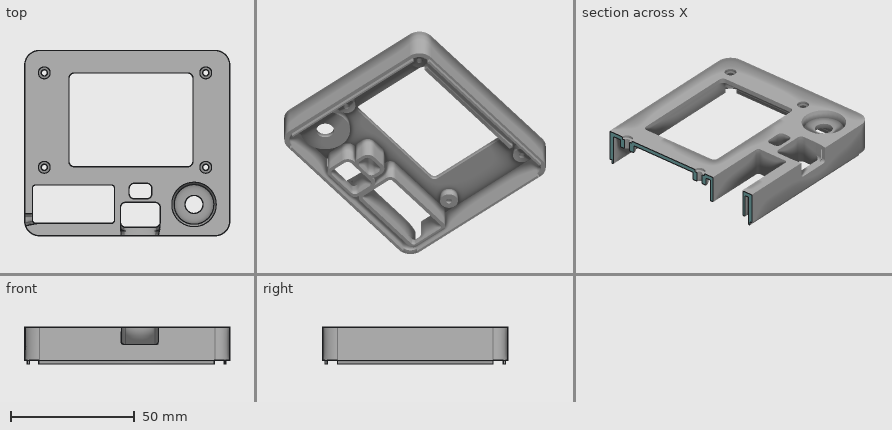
import cadquery as cq

length = 83.0
width = 75.0
height = 15.0
corner_radius = 6.0
wall = 2.0
plate_thickness = 2.0
lip_height = 1.5
plate_underside = height - plate_thickness

lip_inset = 1.0
lip_thickness = 1.0
right_lip_inset = 1.6
right_lip_thickness = 0.7
lip_shift = -0.3

window_x = 18.0
window_y = 28.0
window_length = 50.0
window_width = 37.8
window_radius = 2.0
rib_overhang = 2.2
rib_setback = 0.2
rib_thickness = 1.5
rib_depth = 8.4

screw_center_x = 40.6
screw_center_y = 46.8
screw_pitch_x = 65.3
screw_pitch_y = 38.2
screw_diameter = 2.4
counterbore_diameter = 4.8
counterbore_depth = 1.0
boss_diameter = 7.2
boss_depth = 5.4

tube_wall = 1.5
tube_depth = 11.9
slot_x = 3.2
slot_y = 5.1
slot_length = 33.1
slot_width = 15.4
slot_radius = 1.2
port_x = 38.8
port_y = 3.5
port_length = 16.0
port_width = 10.0
button_x = 42.3
button_y = port_y + port_width + tube_wall
button_length = 9.1
button_width = 6.2
opening_radius = 2.0

notch_fillet = 1.2
side_notch_depth = 9.0
side_notch_top = 9.1
side_flare_start = 8.0
side_flare = 1.25
port_notch_depth = 7.0
port_flare_start = 6.0
port_left_flare = 0.3
port_right_flare = 0.7

dial_x = 68.5
dial_y = 12.7
dial_top_diameter = 18.0
dial_floor_diameter = 16.0
dial_depth = 3.0
dial_floor_thickness = 2.0
dial_hole_diameter = 7.2
cup_diameter = 20.0


def block(x, y, z, dx, dy, dz):
    """Box given by its lowest corner and its size."""
    return cq.Workplane("XY").box(dx, dy, dz, centered=False).translate((x, y, z))


def rounded_block(x, y, z, dx, dy, dz, radius):
    """Box with rounded vertical edges."""
    return block(x, y, z, dx, dy, dz).edges("|Z").fillet(radius)


def hanging_cylinder(x, y, diameter, top, depth):
    """Vertical cylinder reaching down from the level `top`."""
    return cq.Workplane("XY", origin=(x, y, top - depth)).circle(diameter / 2).extrude(depth)


def make_shell():
    """Open-bottomed housing with rounded corners."""
    outside = rounded_block(0, 0, lip_height, length, width, height - lip_height, corner_radius)
    cavity = rounded_block(
        wall, wall, lip_height,
        length - 2 * wall, width - 2 * wall, plate_underside - lip_height,
        corner_radius - wall,
    )
    return outside.cut(cavity)


def add_lip(body):
    """Four straight bars below the rim, broken at the corners."""
    long_x = corner_radius + lip_shift
    bar_x = length - 2 * corner_radius
    bar_y = width - 2 * corner_radius
    right_x = length - right_lip_inset - right_lip_thickness
    far_y = width - lip_inset - lip_thickness
    for y in (lip_inset, far_y):
        body = body.union(block(long_x, y, 0, bar_x, lip_thickness, lip_height))
    body = body.union(block(lip_inset, corner_radius, 0, lip_thickness, bar_y, lip_height))
    return body.union(block(right_x, corner_radius, 0, right_lip_thickness, bar_y, lip_height))


def add_window(body):
    """Display opening with a rib hanging along its far edge."""
    rib = block(
        window_x - rib_overhang, window_y + window_width + rib_setback, height - rib_depth,
        window_length + 2 * rib_overhang, rib_thickness, rib_depth,
    )
    opening = rounded_block(
        window_x, window_y, plate_underside,
        window_length, window_width, plate_thickness, window_radius,
    )
    return body.union(rib).cut(opening)


def add_screw_holes(body):
    """Counterbored holes through hanging bosses."""
    for side_x in (-0.5, 0.5):
        for side_y in (-0.5, 0.5):
            x = screw_center_x + side_x * screw_pitch_x
            y = screw_center_y + side_y * screw_pitch_y
            body = body.union(hanging_cylinder(x, y, boss_diameter, height, boss_depth))
            body = body.cut(hanging_cylinder(x, y, counterbore_diameter, height, counterbore_depth))
            body = body.cut(hanging_cylinder(x, y, screw_diameter, height, boss_depth))
    return body


def add_walled_openings(body):
    """Slot, port and button openings, each lined by a wall below the plate."""
    openings = (
        (slot_x, slot_y, slot_length, slot_width, slot_radius),
        (port_x, port_y, port_length, port_width, opening_radius),
        (button_x, button_y, button_length, button_width, opening_radius),
    )
    bottom = height - tube_depth
    for x, y, dx, dy, radius in openings:
        body = body.union(rounded_block(
            x - tube_wall, y - tube_wall, bottom,
            dx + 2 * tube_wall, dy + 2 * tube_wall, tube_depth, radius + tube_wall,
        ))
    for x, y, dx, dy, radius in openings:
        body = body.cut(rounded_block(x, y, bottom, dx, dy, tube_depth, radius))
    return body


def cut_side_notch(body):
    """Cable notch from the slot through the left wall, flared on its near side."""
    notch = (
        cq.Workplane("XY", origin=(0, 0, height - side_notch_depth))
        .moveTo(0, side_notch_top)
        .lineTo(side_flare_start, side_notch_top)
        .lineTo(side_flare_start, slot_y)
        .threePointArc((side_flare_start / 2, slot_y - side_flare / 4), (0, slot_y - side_flare))
        .close()
        .extrude(side_notch_depth)
        .faces("<Z").edges("not |Y")
        .fillet(notch_fillet)
    )
    return body.cut(notch)


def cut_port_notch(body):
    """Notch from the port through the front wall, narrowing outward."""
    port_right = port_x + port_length
    notch = (
        cq.Workplane("XY", origin=(0, 0, height - port_notch_depth))
        .moveTo(port_x, port_flare_start)
        .threePointArc(
            (port_x + port_left_flare / 4, port_flare_start / 2),
            (port_x + port_left_flare, 0),
        )
        .lineTo(port_right - port_right_flare, 0)
        .threePointArc(
            (port_right - port_right_flare / 4, port_flare_start / 2),
            (port_right, port_flare_start),
        )
        .close()
        .extrude(port_notch_depth)
        .faces("<Z").edges("not |X")
        .fillet(notch_fillet)
    )
    return body.cut(notch)


def add_dial_cup(body):
    """Tapered dial recess with a central hole, in a cup below the plate."""
    cup_depth = dial_depth + dial_floor_thickness
    recess = cq.Workplane(cq.Solid.makeCone(
        dial_floor_diameter / 2, dial_top_diameter / 2, dial_depth,
        pnt=(dial_x, dial_y, height - dial_depth),
    ))
    body = body.union(hanging_cylinder(dial_x, dial_y, cup_diameter, height, cup_depth))
    body = body.cut(recess)
    return body.cut(hanging_cylinder(dial_x, dial_y, dial_hole_diameter, height, cup_depth))


result = make_shell()
result = add_lip(result)
result = add_screw_holes(result)
result = add_window(result)
result = add_walled_openings(result)
result = cut_side_notch(result)
result = cut_port_notch(result)
result = add_dial_cup(result)